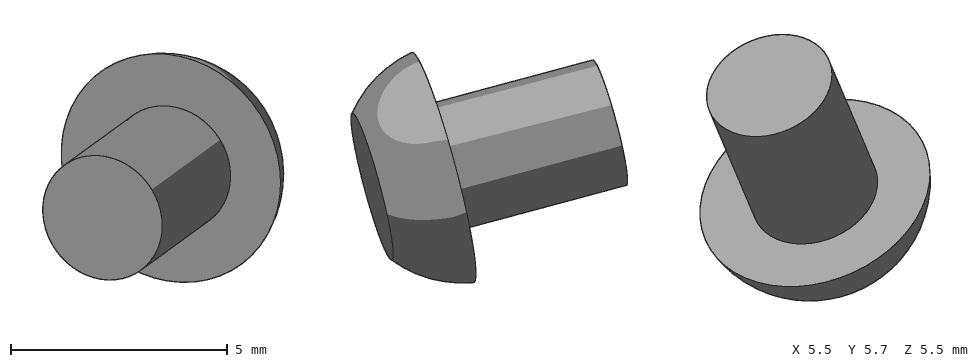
import cadquery as cq
import math

total_length = 5.7
head_height = 1.7
head_diameter = 5.5
head_flat_diameter = 3.5
shank_diameter = 3.0

shank_length = total_length - head_height
head_radius = head_diameter / 2
flat_radius = head_flat_diameter / 2
shank_radius = shank_diameter / 2

dome_center_y = (flat_radius**2 + head_height**2 - head_radius**2) / (2 * head_height)
dome_radius = math.hypot(head_radius, dome_center_y)
dome_mid_y = head_height / 2
dome_mid_radius = math.sqrt(dome_radius**2 - (dome_mid_y - dome_center_y) ** 2)

half_profile = (
    cq.Workplane("XY")
    .moveTo(0, -shank_length)
    .lineTo(shank_radius, -shank_length)
    .lineTo(shank_radius, 0)
    .lineTo(head_radius, 0)
    .threePointArc((dome_mid_radius, dome_mid_y), (flat_radius, head_height))
    .lineTo(0, head_height)
    .close()
)

result = half_profile.revolve(360, (0, 0, 0), (0, 1, 0))